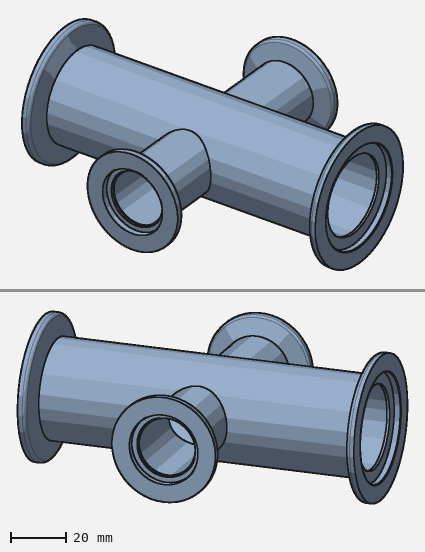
import cadquery as cq

RUN_LENGTH = 130.0
BRANCH_LENGTH = 100.0

RUN_OUTER_DIA = 38.1
RUN_BORE_DIA = 32.0
RUN_RIM_DIA = 55.0
RUN_RIM_ROUND = 1.4
RUN_RECESS_DIA = 41.2
RUN_RECESS_CHAMFER = 0.3
RUN_FLANGE_THICKNESS = 5.1

BRANCH_OUTER_DIA = 25.5
BRANCH_BORE_DIA = 21.6
BRANCH_RIM_DIA = 40.0
BRANCH_RIM_ROUND = 1.0
BRANCH_FLANGE_BORE_DIA = 22.5
BRANCH_RECESS_DIA = 26.5
BRANCH_FLANGE_THICKNESS = 5.0

RIM_WIDTH = 2.9
RECESS_DEPTH = 2.6
SOCKET_START = 3.6

ORIGIN = (0, 0, 0)


def flange(rim_dia, rim_round, thickness, tube_dia, bore_dia, recess_dia, recess_chamfer=0):
    """Clamp flange on the Z axis: sealing face at Z = 0, conical back facing +Z."""
    rim_radius = rim_dia / 2
    blank = (
        cq.Workplane("XZ")
        .polyline([
            (0, 0),
            (rim_radius, 0),
            (rim_radius, RIM_WIDTH),
            (tube_dia / 2, thickness),
            (0, thickness),
        ])
        .close()
        .revolve(360, ORIGIN, (0, 1, 0))
    )
    rim_back_edge = cq.selectors.BoxSelector(
        (-rim_dia, -rim_dia, RIM_WIDTH / 2),
        (rim_dia, rim_dia, (RIM_WIDTH + thickness) / 2),
    )
    rounded = blank.edges("%CIRCLE").edges(rim_back_edge).fillet(rim_round)

    bore = cq.Workplane("XY").circle(bore_dia / 2).extrude(thickness)
    recess = cq.Workplane("XY").circle(recess_dia / 2).extrude(RECESS_DEPTH)
    socket = (
        cq.Workplane("XY", origin=(0, 0, SOCKET_START))
        .circle(tube_dia / 2)
        .extrude(thickness - SOCKET_START)
    )
    body = rounded.cut(bore).cut(recess).cut(socket)

    if recess_chamfer:
        mouth = cq.Solid.makeCone(
            recess_dia / 2 + recess_chamfer, recess_dia / 2, recess_chamfer
        )
        body = body.cut(cq.Workplane(mouth))
    return body


def rod(plane, diameter, length):
    """Cylinder centred on the origin, along the normal of the given plane."""
    return cq.Workplane(plane).circle(diameter / 2).extrude(length / 2, both=True)


def cross_tube():
    """Main tube along X crossed by a smaller tube along Y, bored through both ways."""
    run_tube_length = RUN_LENGTH - 2 * SOCKET_START
    branch_tube_length = BRANCH_LENGTH - 2 * SOCKET_START
    outside = rod("YZ", RUN_OUTER_DIA, run_tube_length).union(
        rod("XZ", BRANCH_OUTER_DIA, branch_tube_length)
    )
    run_bore = rod("YZ", RUN_BORE_DIA, run_tube_length)
    branch_bore = rod("XZ", BRANCH_BORE_DIA, branch_tube_length)
    return outside.cut(run_bore).cut(branch_bore)


def flange_pair(blank, length, turns):
    """Two copies of a flange, one at each end of a tube, sealing faces outward."""
    end_flange = blank.rotate(ORIGIN, (0, 1, 0), 90).translate((-length / 2, 0, 0))
    return [end_flange.rotate(ORIGIN, (0, 0, 1), turn).solids().val() for turn in turns]


cross = cross_tube()

run_flange = flange(
    RUN_RIM_DIA,
    RUN_RIM_ROUND,
    RUN_FLANGE_THICKNESS,
    RUN_OUTER_DIA,
    RUN_BORE_DIA,
    RUN_RECESS_DIA,
    RUN_RECESS_CHAMFER,
)
branch_flange = flange(
    BRANCH_RIM_DIA,
    BRANCH_RIM_ROUND,
    BRANCH_FLANGE_THICKNESS,
    BRANCH_OUTER_DIA,
    BRANCH_FLANGE_BORE_DIA,
    BRANCH_RECESS_DIA,
)

run_flanges = flange_pair(run_flange, RUN_LENGTH, (0, 180))
branch_flanges = flange_pair(branch_flange, BRANCH_LENGTH, (90, 270))

result = cq.Compound.makeCompound([cross.solids().val(), *run_flanges, *branch_flanges])